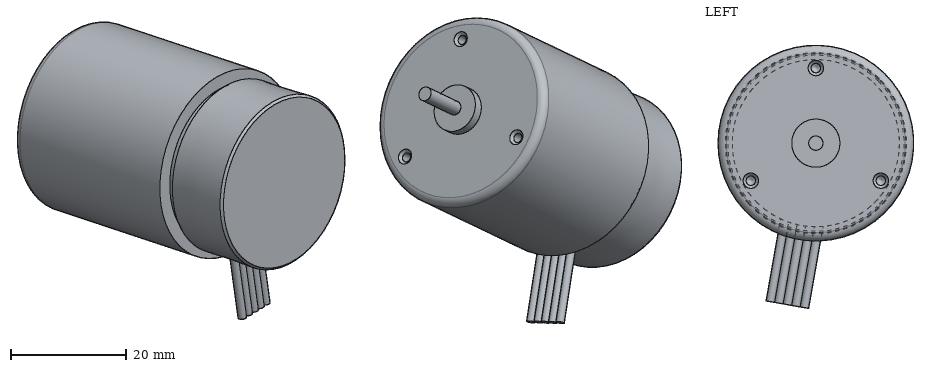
import cadquery as cq
import math

TOTAL_LENGTH = 60.6
BOSS_START = 10.0
BODY_START = 12.0
BODY_END = 46.95
CAP_START = 48.65

SHAFT_DIAMETER = 2.5
BOSS_DIAMETER = 8.35
BODY_DIAMETER = 34.0
NECK_DIAMETER = 29.0
CAP_FRONT_DIAMETER = 31.25
CAP_REAR_DIAMETER = 31.45

BODY_FILLET = 1.45
CAP_CHAMFER = 0.4

HOLE_COUNT = 3
HOLE_CIRCLE_RADIUS = 13.0
HOLE_DIAMETER = 1.65
HOLE_DEPTH = 3.0
COUNTERSINK_DIAMETER = 2.65
DRILL_TIP_ANGLE = 118.0

WIRE_COUNT = 5
WIRE_DIAMETER = 1.5
WIRE_OVERLAP = 0.01
WIRE_PITCH = WIRE_DIAMETER - WIRE_OVERLAP
WIRE_INNER_RADIUS = 12.1
WIRE_OUTER_RADIUS = 28.5
RIBBON_TILT = 10.0


def cylinder_along_x(diameter, start, end):
    return cq.Workplane("YZ", origin=(start, 0, 0)).circle(diameter / 2).extrude(end - start)


def make_body():
    body = cylinder_along_x(BODY_DIAMETER, BODY_START, BODY_END)
    return body.faces("<X").edges().fillet(BODY_FILLET)


def make_cap():
    """Rear cap, widening slightly toward its chamfered end."""
    front_radius = CAP_FRONT_DIAMETER / 2
    rear_radius = CAP_REAR_DIAMETER / 2
    profile = [
        (CAP_START, 0),
        (CAP_START, front_radius),
        (TOTAL_LENGTH - CAP_CHAMFER, rear_radius),
        (TOTAL_LENGTH, rear_radius - CAP_CHAMFER),
        (TOTAL_LENGTH, 0),
    ]
    return cq.Workplane("XY").polyline(profile).close().revolve(360, (0, 0, 0), (1, 0, 0))


def make_hole():
    """Countersunk blind hole with a drill-point bottom, lying on the motor axis."""
    radius = HOLE_DIAMETER / 2
    sink_radius = COUNTERSINK_DIAMETER / 2
    sink_depth = sink_radius - radius
    tip_length = radius / math.tan(math.radians(DRILL_TIP_ANGLE / 2))
    profile = [
        (BODY_START, 0),
        (BODY_START, sink_radius),
        (BODY_START + sink_depth, radius),
        (BODY_START + HOLE_DEPTH, radius),
        (BODY_START + HOLE_DEPTH + tip_length, 0),
    ]
    return cq.Workplane("XY").polyline(profile).close().revolve(360, (0, 0, 0), (1, 0, 0))


def make_ribbon():
    """Row of parallel wires built hanging straight down, then tilted toward +Y."""
    ribbon = cq.Workplane("XY")
    for index in range(WIRE_COUNT):
        offset = (index - (WIRE_COUNT - 1) / 2) * WIRE_PITCH
        wire = (
            cq.Workplane("XY", origin=(CAP_START, offset, -WIRE_OUTER_RADIUS))
            .circle(WIRE_DIAMETER / 2)
            .extrude(WIRE_OUTER_RADIUS - WIRE_INNER_RADIUS)
        )
        ribbon = ribbon.union(wire)
    return ribbon.rotate((0, 0, 0), (1, 0, 0), RIBBON_TILT)


shaft = cylinder_along_x(SHAFT_DIAMETER, 0, BODY_START)
boss = cylinder_along_x(BOSS_DIAMETER, BOSS_START, BODY_START)
neck = cylinder_along_x(NECK_DIAMETER, BODY_END, CAP_START)

result = make_body().union(boss).union(shaft).union(neck).union(make_cap()).union(make_ribbon())

for index in range(HOLE_COUNT):
    hole = make_hole().translate((0, 0, HOLE_CIRCLE_RADIUS))
    result = result.cut(hole.rotate((0, 0, 0), (1, 0, 0), index * 360 / HOLE_COUNT))